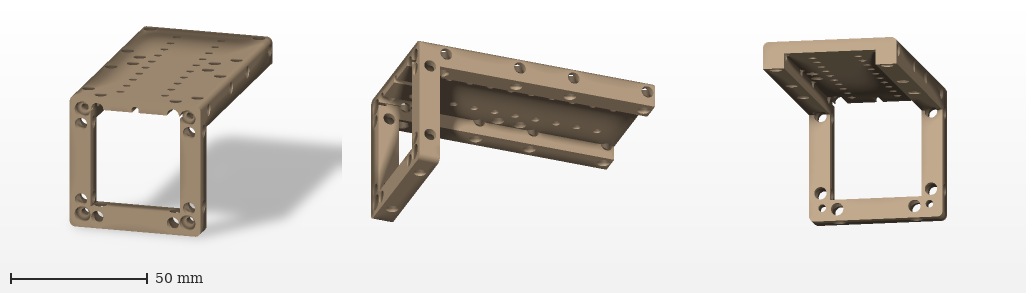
import cadquery as cq
import math

frame_side = 49.8
length = 92.0
half_side = frame_side / 2
edge_radius = 2.0

deck_thickness = 4.5
rail_height = 10.0
frame_depth = 8.0
opening_width = 34.1
half_opening = opening_width / 2
deck_underside = half_side - deck_thickness

mount_diameter = 4.6
mount_inset = 4.3
mount_line = half_side - mount_inset
mount_offset = 14.4
side_mount_depth = 8.0
front_mount_depth = 12.0
frame_hole_y = 4.2

face_centers_y = (half_side, 3 * half_side)
rail_hole_ys = [center + offset for center in face_centers_y for offset in (-mount_offset, mount_offset)]

deck_edge_x = 20.75
deck_inner_x = 14.3
deck_inner_ys = (frame_hole_y, frame_side - mount_inset, frame_side + mount_inset)

row_diameter = 2.9
row_spacing = 17.0
row_count = 10
row_pitch = 8.0
row_start_y = 10.0

screw_diameter = 2.8
screw_offset = 20.0
screw_depth = 20.0
screw_head_diameter = 6.0
screw_head_depth = 3.2

locator_diameter = 2.8
locator_z = 21.2
locator_depth = frame_depth

drill_point_angle = 118.0


def symmetric(spacing):
    """Two positions a given spacing apart about the centre."""
    return (-spacing / 2, spacing / 2)


def cylinder(start, direction, diameter, depth):
    """Flat-ended round cutter."""
    tool = cq.Solid.makeCylinder(diameter / 2, depth, cq.Vector(*start), cq.Vector(*direction))
    return cq.Workplane(obj=tool)


def drill(start, direction, diameter, depth):
    """Round cutter whose end is a conical drill point beyond the full-diameter depth."""
    radius = diameter / 2
    point_length = radius / math.tan(math.radians(drill_point_angle / 2))
    axis = cq.Vector(*direction)
    tip_base = cq.Vector(*start) + axis * depth
    point = cq.Solid.makeCone(radius, 0, point_length, tip_base, axis)
    return cylinder(start, direction, diameter, depth).union(cq.Workplane(obj=point))


def make_body():
    """Square frame at the front with a channel-shaped deck behind it."""
    body = cq.Workplane("XZ").rect(frame_side, frame_side).extrude(-length)
    body = body.edges("|Y").fillet(edge_radius)

    opening = cq.Workplane("XY").box(
        opening_width, length, half_opening + deck_underside, centered=(True, False, False)
    )
    below_rails = cq.Workplane("XY").box(
        frame_side, length - frame_depth, frame_side - rail_height, centered=(True, False, False)
    )
    body = body.cut(opening.translate((0, 0, -half_opening)))
    return body.cut(below_rails.translate((0, frame_depth, -half_side)))


def cut_deck_mounts(body):
    """Vertical mounting holes: through the rails, at mid-length, and down through the frame."""
    edge_points = [(side * deck_edge_x, y) for side in (-1, 1) for y in rail_hole_ys]
    inner_points = [(side * deck_inner_x, y) for side in (-1, 1) for y in deck_inner_ys]
    for x, y in edge_points + inner_points:
        body = body.cut(cylinder((x, y, -half_side), (0, 0, 1), mount_diameter, frame_side))
    return body


def cut_deck_rows(body):
    """Two rows of small through holes along the deck."""
    for x in symmetric(row_spacing):
        for index in range(row_count):
            y = row_start_y + index * row_pitch
            body = body.cut(cylinder((x, y, 0), (0, 0, 1), row_diameter, half_side))
    return body


def cut_side_mounts(body):
    """Holes drilled inward from both sides, into the rails and the frame uprights."""
    rail_points = [(y, mount_line) for y in rail_hole_ys]
    frame_points = [(frame_hole_y, z) for z in (-mount_offset, mount_offset)]
    for side in (-1, 1):
        for y, z in rail_points + frame_points:
            body = body.cut(drill((side * half_side, y, z), (-side, 0, 0), mount_diameter, side_mount_depth))
    return body


def cut_front_mounts(body):
    """Holes drilled into the front face, two beside each corner."""
    for x_side in (-1, 1):
        for z_side in (-1, 1):
            for x, z in ((mount_line, mount_offset), (mount_offset, mount_line)):
                start = (x_side * x, 0, z_side * z)
                body = body.cut(drill(start, (0, 1, 0), mount_diameter, front_mount_depth))
    return body


def cut_corner_screws(body):
    """Counterbored screw hole in each corner of the frame; the upper two run on into the rails."""
    for x_side in (-1, 1):
        for z_side in (-1, 1):
            start = (x_side * screw_offset, 0, z_side * screw_offset)
            body = body.cut(drill(start, (0, 1, 0), screw_diameter, screw_depth))
            body = body.cut(cylinder(start, (0, 1, 0), screw_head_diameter, screw_head_depth))
    return body


def cut_locator(body):
    """Flat-bottomed hole on the centre line, open to the underside of the deck."""
    return body.cut(cylinder((0, 0, locator_z), (0, 1, 0), locator_diameter, locator_depth))


result = make_body()
result = cut_deck_mounts(result)
result = cut_deck_rows(result)
result = cut_side_mounts(result)
result = cut_front_mounts(result)
result = cut_corner_screws(result)
result = cut_locator(result)